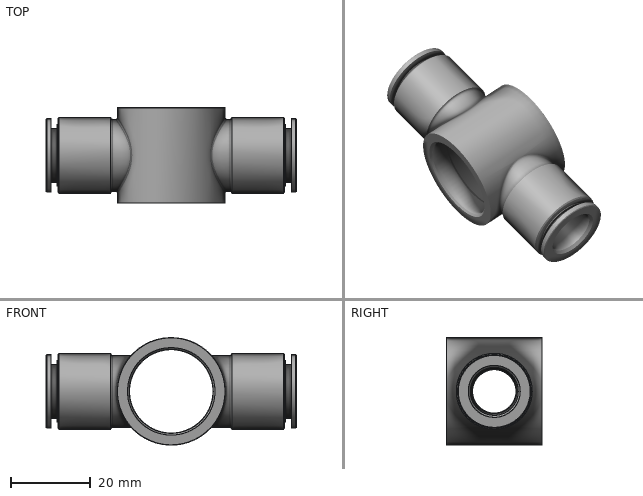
import cadquery as cq

length = 62.8
half_length = length / 2

ring_width = 24.0
ring_radius = 13.5
ring_bore_radius = 10.5
ring_recess_radius = 10.9
ring_mouth_chamfer = 0.5
recess_land = 5.0
recess_ramp = 0.6
junction_fillet = 0.4

flange_radius = 9.25
flange_thickness = 1.25
flange_chamfer = 0.2
neck_radius = 6.8
collar_radius = 7.7
collar_start = 2.75
sleeve_radius = 9.55
sleeve_start = 2.95
sleeve_end = 16.2
sleeve_chamfer = 0.3
stem_radius = 9.05
stem_fillet = 0.45

port_mouth_radius = 6.5
port_mouth_depth = 0.8
tube_radius = 6.0
passage_radius = 5.45
taper_end_x = 11.55


def make_ring():
    """Plain outer cylinder of the ring."""
    return cq.Workplane("XZ").circle(ring_radius).extrude(ring_width / 2, both=True)


def make_stem():
    """Straight cylinder that joins the ring to both sleeves."""
    return cq.Workplane("YZ").circle(stem_radius).extrude(half_length - sleeve_end, both=True)


def make_arm_end():
    """Sleeve, collar, neck and flange of the +X arm, revolved about X."""
    flange_inner_x = half_length - flange_thickness
    collar_x = half_length - collar_start
    sleeve_outer_x = half_length - sleeve_start
    sleeve_inner_x = half_length - sleeve_end
    profile = (
        cq.Workplane("XY")
        .moveTo(sleeve_inner_x - stem_fillet, 0)
        .lineTo(sleeve_inner_x - stem_fillet, stem_radius)
        .radiusArc((sleeve_inner_x, stem_radius + stem_fillet), -stem_fillet)
        .lineTo(sleeve_inner_x, sleeve_radius)
        .lineTo(sleeve_outer_x - sleeve_chamfer, sleeve_radius)
        .lineTo(sleeve_outer_x, sleeve_radius - sleeve_chamfer)
        .lineTo(sleeve_outer_x, collar_radius)
        .lineTo(collar_x, collar_radius)
        .lineTo(collar_x, neck_radius)
        .lineTo(flange_inner_x, neck_radius)
        .lineTo(flange_inner_x, flange_radius)
        .lineTo(half_length - flange_chamfer, flange_radius)
        .lineTo(half_length, flange_radius - flange_chamfer)
        .lineTo(half_length, 0)
        .close()
    )
    return profile.revolve(360, (0, 0, 0), (1, 0, 0))


def make_ring_bore():
    """Ring bore with chamfered mouths and a wider middle, revolved about Y."""
    face_y = ring_width / 2
    ramp_y = face_y - recess_land
    recess_y = ramp_y - recess_ramp
    chamfer_y = face_y - ring_mouth_chamfer
    mouth_radius = ring_bore_radius + ring_mouth_chamfer
    profile = cq.Workplane("XY").polyline([
        (0, -face_y),
        (mouth_radius, -face_y),
        (ring_bore_radius, -chamfer_y),
        (ring_bore_radius, -ramp_y),
        (ring_recess_radius, -recess_y),
        (ring_recess_radius, recess_y),
        (ring_bore_radius, ramp_y),
        (ring_bore_radius, chamfer_y),
        (mouth_radius, face_y),
        (0, face_y),
    ]).close()
    return profile.revolve(360, (0, 0, 0), (0, 1, 0))


def make_port():
    """Flared mouth, gently tapered tube seat and passage of the +X arm."""
    profile = cq.Workplane("XY").polyline([
        (0, 0),
        (0, passage_radius),
        (taper_end_x, passage_radius),
        (half_length - port_mouth_depth, tube_radius),
        (half_length, port_mouth_radius),
        (half_length, 0),
    ]).close()
    return profile.revolve(360, (0, 0, 0), (1, 0, 0))


def on_both_sides(shape):
    """Join a +X shape to its mirror image on the -X side."""
    return shape.union(shape.mirror("YZ"))


body = make_ring().union(make_stem())
junction_box = cq.selectors.BoxSelector(
    (-ring_radius, -stem_radius, -stem_radius),
    (ring_radius, stem_radius, stem_radius),
    boundingbox=False,
)
body = body.edges("not %CIRCLE").edges("not %LINE").edges(junction_box).fillet(junction_fillet)

body = body.union(on_both_sides(make_arm_end()))
result = body.cut(make_ring_bore()).cut(on_both_sides(make_port()))